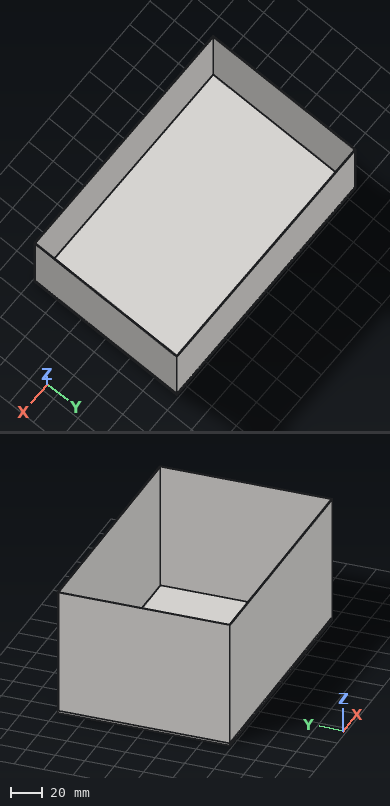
import cadquery as cq

length = 177.0
width = 117.0
height = 87.0

wall_thickness = 0.5
floor_thickness = 1.5

outside = cq.Workplane("XY").box(length, width, height, centered=(True, True, False))

cavity_length = length - 2 * wall_thickness
cavity_width = width - 2 * wall_thickness
cavity_depth = height - floor_thickness
cavity = (
    cq.Workplane("XY")
    .workplane(offset=floor_thickness)
    .box(cavity_length, cavity_width, cavity_depth, centered=(True, True, False))
)

result = outside.cut(cavity)